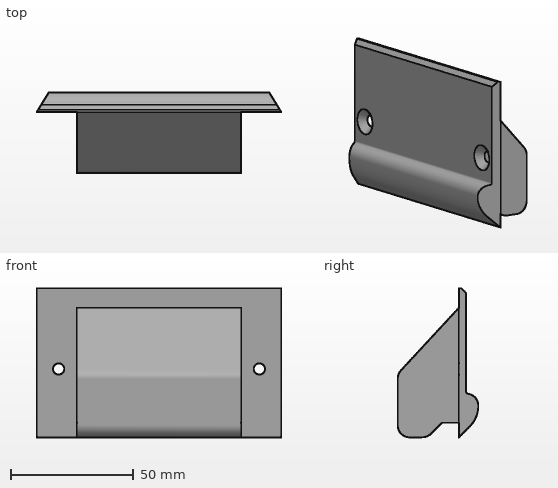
import cadquery as cq
import math

plate_width = 100.0
plate_height = 61.0
plate_thickness = 3.0
top_lip = 1.0
side_taper = 0.62

bead_depth = 8.0
lower_bead_radius = 12.0
upper_bead_radius = 5.0
bead_fillet = 1.0

housing_width = 67.0
housing_depth = 25.0
housing_top = 53.0
front_face_top = 26.0
rear_floor_height = 6.0
rear_floor_depth = 6.8
upper_front_radius = 5.0
lower_front_radius = 5.0
lower_rear_radius = 6.0

hole_diameter = 4.5
hole_spacing = 82.0
hole_height = 28.0
countersink_angle = 90.0


def extrude_across(profile, width):
    """Extrude a (Y, Z) profile along X, centred on X = 0."""
    return profile.extrude(width / 2, both=True)


def point_on_circle(center, radius, angle):
    """Point on a (Y, Z) circle, with the angle measured from +Y toward +Z."""
    return (center[0] + radius * math.cos(angle), center[1] + radius * math.sin(angle))


def make_plate():
    """Plate and bead as one profile, with both ends tapering toward the back."""
    top_slope = plate_thickness - top_lip
    half_root = math.sqrt(0.5)

    underside_end = bead_depth - lower_bead_radius * (1 - half_root)
    crest_z = underside_end + lower_bead_radius * half_root
    lower_center = (bead_depth - lower_bead_radius, crest_z)
    lower_mid = point_on_circle(lower_center, lower_bead_radius, math.radians(-22.5))

    upper_center = (bead_depth - upper_bead_radius, crest_z)
    fillet_y = plate_thickness + bead_fillet
    center_distance = upper_bead_radius + bead_fillet
    upper_sweep = math.acos((fillet_y - upper_center[0]) / center_distance)
    upper_mid = point_on_circle(upper_center, upper_bead_radius, upper_sweep / 2)
    upper_end = point_on_circle(upper_center, upper_bead_radius, upper_sweep)
    fillet_center = point_on_circle(upper_center, center_distance, upper_sweep)
    fillet_mid = point_on_circle(fillet_center, bead_fillet, math.pi + upper_sweep / 2)
    fillet_end = (plate_thickness, fillet_center[1])

    profile = (
        cq.Workplane("YZ")
        .moveTo(0, 0)
        .lineTo(underside_end, underside_end)
        .threePointArc(lower_mid, (bead_depth, crest_z))
        .threePointArc(upper_mid, upper_end)
        .threePointArc(fillet_mid, fillet_end)
        .lineTo(plate_thickness, plate_height - top_slope)
        .lineTo(top_lip, plate_height)
        .lineTo(0, plate_height)
        .close()
    )

    half_front = plate_width / 2
    half_back = half_front - side_taper * bead_depth
    tapered_envelope = (
        cq.Workplane("XY")
        .polyline([
            (-half_front, 0),
            (half_front, 0),
            (half_back, bead_depth),
            (-half_back, bead_depth),
        ])
        .close()
        .extrude(plate_height)
    )
    return extrude_across(profile, plate_width).intersect(tapered_envelope)


def make_housing():
    """Sloped-top housing with a 45 degree step up to its rear floor."""
    lower_rear_y = -(rear_floor_depth + rear_floor_height)
    profile = (
        cq.Workplane("YZ")
        .polyline([
            (0, rear_floor_height),
            (0, housing_top),
            (-housing_depth, front_face_top),
            (-housing_depth, 0),
            (lower_rear_y, 0),
            (-rear_floor_depth, rear_floor_height),
        ])
        .close()
    )
    housing = extrude_across(profile, housing_width)
    rounded_corners = [
        (-housing_depth, front_face_top, upper_front_radius),
        (-housing_depth, 0, lower_front_radius),
        (lower_rear_y, 0, lower_rear_radius),
    ]
    for corner_y, corner_z, radius in rounded_corners:
        corner_edge = cq.selectors.NearestToPointSelector((0, corner_y, corner_z))
        housing = housing.edges("|X").edges(corner_edge).fillet(radius)
    return housing


def make_screw_holes():
    """Conical holes beside the housing, widening from the front face to the back."""
    rear_radius = hole_diameter / 2 + plate_thickness * math.tan(math.radians(countersink_angle / 2))
    holes = cq.Workplane("XY")
    for side in (-1, 1):
        cone = cq.Solid.makeCone(
            hole_diameter / 2,
            rear_radius,
            plate_thickness,
            pnt=cq.Vector(side * hole_spacing / 2, 0, hole_height),
            dir=cq.Vector(0, 1, 0),
        )
        holes = holes.add(cone)
    return holes.combine()


result = make_plate().union(make_housing()).cut(make_screw_holes())